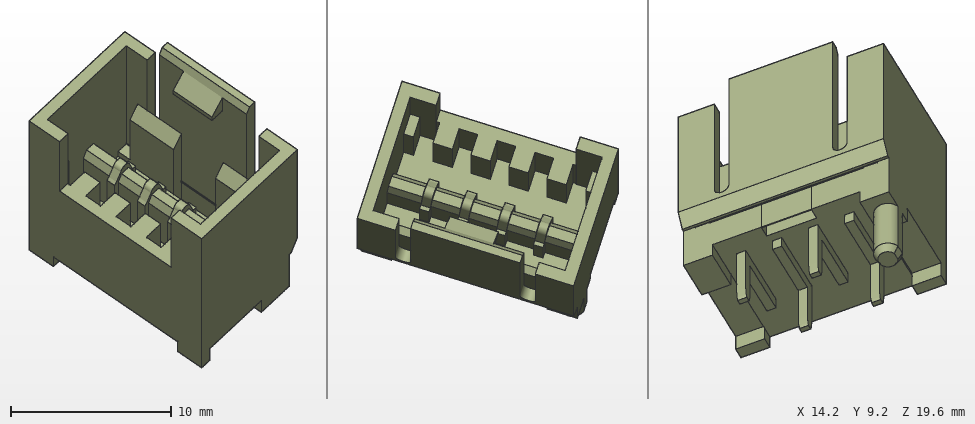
import cadquery as cq


width = 14.2
depth = 9.2
wall = 0.78
side_wall = 0.8
front_wall = 0.82
body_height = 13.39
floor_top = 2.75
underside = 1.0
back_face = depth - wall
inner_width = width - 2 * side_wall
notch_width = 9.17
notch_bottom = 8.27
lip_bottom = 3.27
lip_chamfer_depth = 0.6
lip_chamfer_height = 1.0

leg_width = 2.0
rear_leg_front = 5.72
side_notch_top = 1.22

latch_top = 15.29
latch_chamfer_depth = 0.27
latch_chamfer_height = 0.49
slot_width = 1.0
slot_bottom = 4.7
latch_width = notch_width - 2 * slot_width
hook_width = 3.2
hook_reach = 1.0
hook_bottom = 13.45
hook_top = latch_top - latch_chamfer_height

stop_inner_x = 1.72
stop_outer_x = 5.31
stop_depth = 0.75
stop_gap = 0.05
stop_top = notch_bottom
stop_slope_height = 0.9
ledge_top = 3.23
stop_back = back_face - stop_gap
stop_front = stop_back - stop_depth

rib_width = 1.27
rib_back = 2.15
side_rib_width = 0.65

ridge_front = 4.27
ridge_back = 5.57
ridge_bevel = 0.31
ridge_bevel_bottom = 5.88
ridge_top = 6.45

pitch = 2.49
contact_count = 4
contact_width = 0.63
tail_thickness = 0.65
contact_front = 3.92
contact_back = 5.94
contact_top = 7.02
contact_dome_front = 4.5
contact_dome_back = 5.35
contact_dome_base = 6.68
contact_shoulder = 6.08
contact_foot = 5.88
contact_front_taper = 0.18
contact_foot_depth = 0.27
front_row_y = 3.02
bar_front = 2.65
bar_bottom = 0.18
tail_taper_start = -2.6
tail_tip_start = -3.15
tail_bottom = -3.31
tail_neck_width = 0.47
tail_tip_width = 0.33

post_radius = 0.9
post_chamfer_inset = 0.27
post_length = 4.31
post_chamfer_height = 0.5
post_side_offset = 0.85
post_x = -width / 2 + post_side_offset
post_y = 6.76


def centred_block(x_size, y0, y1, z0, z1):
    """Box symmetric about X = 0 between the given Y and Z limits."""
    corner = (-x_size / 2, y0, z0)
    return cq.Workplane("XY").box(x_size, y1 - y0, z1 - z0, centered=False).translate(corner)


def side_profile(points, x_size, x_middle=0.0):
    """Closed Y-Z outline extruded along X about x_middle."""
    outline = cq.Workplane("YZ").polyline(points).close()
    return outline.extrude(x_size / 2, both=True).translate((x_middle, 0, 0))


def make_housing():
    outer = side_profile(
        [
            (0, 0),
            (back_face, 0),
            (back_face, lip_bottom),
            (depth - lip_chamfer_depth, lip_bottom),
            (depth, lip_bottom + lip_chamfer_height),
            (depth, body_height),
            (0, body_height),
        ],
        width,
    )
    cavity = centred_block(inner_width, front_wall, back_face, floor_top, body_height)
    notch_relief = centred_block(notch_width, wall, front_wall, floor_top, body_height)
    front_notch = centred_block(notch_width, 0, wall, notch_bottom, body_height)
    between_legs = centred_block(width - 2 * leg_width, 0, back_face, 0, underside)
    side_notches = centred_block(width, wall, rear_leg_front, 0, side_notch_top).cut(
        centred_block(width - 2 * leg_width, wall, rear_leg_front, underside, side_notch_top)
    )
    return outer.cut(cavity).cut(notch_relief).cut(front_notch).cut(between_legs).cut(side_notches)


def make_latch_slot(x_middle):
    """Vertical slot with a round bottom through the back wall."""
    radius = slot_width / 2
    straight = centred_block(slot_width, back_face, depth, slot_bottom + radius, body_height)
    round_end = (
        cq.Workplane("XZ")
        .center(0, slot_bottom + radius)
        .circle(radius)
        .extrude(-wall)
        .translate((0, back_face, 0))
    )
    return straight.union(round_end).translate((x_middle, 0, 0))


def make_latch_top():
    """Arm section from the notch level up, with its hook."""
    arm = side_profile(
        [
            (back_face, notch_bottom),
            (depth, notch_bottom),
            (depth, latch_top),
            (back_face + latch_chamfer_depth, latch_top),
            (back_face, hook_top),
        ],
        latch_width,
    )
    hook = side_profile(
        [
            (back_face, hook_bottom),
            (back_face, hook_top),
            (back_face - hook_reach, hook_top - hook_reach),
            (back_face - hook_reach, hook_bottom),
        ],
        hook_width,
    )
    return arm.union(hook)


def make_stops():
    """Ledge and two slant-topped blocks at the back of the cavity."""
    stops = centred_block(inner_width, stop_front, back_face, floor_top, ledge_top)
    for side in (-1, 1):
        stop = side_profile(
            [
                (stop_front, floor_top),
                (stop_back, floor_top),
                (stop_back, stop_top),
                (stop_front, stop_top - stop_slope_height),
            ],
            stop_outer_x - stop_inner_x,
            side * (stop_inner_x + stop_outer_x) / 2,
        )
        stops = stops.union(stop)
    return stops


def make_ridge():
    return side_profile(
        [
            (ridge_front, floor_top),
            (ridge_front, ridge_bevel_bottom),
            (ridge_front + ridge_bevel, ridge_top),
            (ridge_back - ridge_bevel, ridge_top),
            (ridge_back, ridge_bevel_bottom),
            (ridge_back, floor_top),
        ],
        inner_width,
    )


def make_front_ribs():
    ribs = cq.Workplane("XY")
    for x in contact_positions:
        rib = centred_block(rib_width, wall, rib_back, floor_top, notch_bottom)
        ribs = ribs.union(rib.translate((x, 0, 0)))
    for side in (-1, 1):
        rib = centred_block(side_rib_width, wall, rib_back, floor_top, notch_bottom)
        ribs = ribs.union(rib.translate((side * (inner_width - side_rib_width) / 2, 0, 0)))
    return ribs


def make_contact(x):
    """Round-topped contact straddling the ridge."""
    dome_middle = (contact_dome_front + contact_dome_back) / 2
    outline = (
        cq.Workplane("YZ")
        .moveTo(contact_front, floor_top)
        .lineTo(contact_front, contact_shoulder - contact_front_taper)
        .lineTo(contact_front + contact_front_taper, contact_shoulder)
        .lineTo(contact_dome_front, contact_dome_base)
        .threePointArc((dome_middle, contact_top), (contact_dome_back, contact_dome_base))
        .lineTo(contact_back - contact_foot_depth, contact_foot)
        .lineTo(contact_back, contact_foot)
        .lineTo(contact_back, floor_top)
        .close()
    )
    return outline.extrude(contact_width / 2, both=True).translate((x, 0, 0))


def make_tail(x, y_middle):
    """Solder tail tapered in Y."""
    half_widths = [
        (tail_thickness / 2, underside),
        (tail_thickness / 2, tail_taper_start),
        (tail_neck_width / 2, tail_tip_start),
        (tail_tip_width / 2, tail_bottom),
    ]
    rear = [(y_middle + half, z) for half, z in half_widths]
    front = [(y_middle - half, z) for half, z in reversed(half_widths)]
    return side_profile(rear + front, contact_width, x)


def make_post():
    """Round post trimmed flush with the housing side, its tip bevelled on both the round and the flat."""
    bevel_z = post_chamfer_height - post_length
    half_section = [
        (0, 0),
        (post_radius, 0),
        (post_radius, bevel_z),
        (post_radius - post_chamfer_inset, -post_length),
        (0, -post_length),
    ]
    post = cq.Workplane("XZ").polyline(half_section).close().revolve(360, (0, 0), (0, 1))
    trim_outline = [
        (-width / 2, 0),
        (-width / 2, bevel_z),
        (-width / 2 + post_chamfer_inset, -post_length),
        (0, -post_length),
        (0, 0),
    ]
    trim = cq.Workplane("XZ").polyline(trim_outline).close().extrude(-depth)
    return post.translate((post_x, post_y, 0)).intersect(trim)


contact_positions = [(i - (contact_count - 1) / 2) * pitch for i in range(contact_count)]

result = make_housing()
for side in (-1, 1):
    result = result.cut(make_latch_slot(side * (latch_width + slot_width) / 2))
result = result.union(make_latch_top()).union(make_stops()).union(make_ridge()).union(make_front_ribs())
result = result.cut(centred_block(2 * stop_inner_x, stop_front, stop_back, 0, ledge_top))

for index, x in enumerate(contact_positions):
    is_front_row = index % 2 == 0
    tail_y = front_row_y if is_front_row else post_y
    bar_start = front_row_y - tail_thickness / 2 if is_front_row else bar_front
    bar_end = post_y + tail_thickness / 2
    bar = centred_block(contact_width, bar_start, bar_end, bar_bottom, underside).translate((x, 0, 0))
    result = result.union(make_contact(x)).union(bar).union(make_tail(x, tail_y))

result = result.union(make_post())